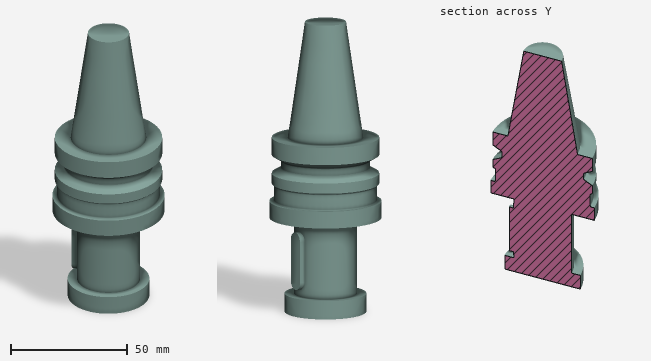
import cadquery as cq
import math

top_z = 48.4
bottom_z = -78.0

gauge_diameter = 31.75
taper_slope = 7 / 24 / 2

flange_diameter = 46.0
flange_top_z = -2.0
flange_bottom_z = -22.0
groove_diameter = 38.0
groove_top_z = -9.55
groove_bottom_z = -17.55
groove_flank_angle = 30.0
groove_root_fillet = 0.5
flange_chamfer = 0.4

neck_diameter = 44.0
collar_diameter = 48.0
collar_top_z = -29.7
collar_bottom_z = -37.0
arbor_diameter = 27.0
disc_diameter = 35.0
disc_top_z = -70.0

key_width = 7.0
key_length = 25.0
key_center_z = -54.4
key_face_x = -15.5
key_depth = 7.0

edge_tolerance = 0.01


def taper_radius(z):
    """Radius of the taper cone at height z."""
    return gauge_diameter / 2 - z * taper_slope


def arc_middle_gap(radius):
    """Gap between the middle of a root fillet and either of the two walls it joins."""
    return radius * (1 - math.sqrt(0.5))


def make_body():
    """Revolve the half outline (radius, height) about the Z axis."""
    flange_radius = flange_diameter / 2
    groove_radius = groove_diameter / 2
    neck_radius = neck_diameter / 2
    collar_radius = collar_diameter / 2
    arbor_radius = arbor_diameter / 2
    disc_radius = disc_diameter / 2
    flank_height = (flange_radius - groove_radius) * math.tan(math.radians(groove_flank_angle))
    flange_underside_z = flange_bottom_z - flange_chamfer
    neck_fillet = flange_radius - flange_chamfer - neck_radius
    fillet_gap = arc_middle_gap(neck_fillet)

    outline = (
        cq.Workplane("XZ")
        .moveTo(0, top_z)
        .lineTo(taper_radius(top_z), top_z)
        .lineTo(taper_radius(flange_top_z), flange_top_z)
        .lineTo(flange_radius, flange_top_z)
        .lineTo(flange_radius, groove_top_z)
        .lineTo(groove_radius, groove_top_z - flank_height)
        .lineTo(groove_radius, groove_bottom_z + flank_height)
        .lineTo(flange_radius, groove_bottom_z)
        .lineTo(flange_radius, flange_bottom_z)
        .lineTo(flange_radius - flange_chamfer, flange_underside_z)
        .threePointArc(
            (neck_radius + fillet_gap, flange_underside_z - fillet_gap),
            (neck_radius, flange_underside_z - neck_fillet),
        )
        .lineTo(neck_radius, collar_top_z + neck_fillet)
        .threePointArc(
            (neck_radius + fillet_gap, collar_top_z + fillet_gap),
            (neck_radius + neck_fillet, collar_top_z),
        )
        .lineTo(collar_radius, collar_top_z)
        .lineTo(collar_radius, collar_bottom_z)
        .lineTo(arbor_radius, collar_bottom_z)
        .lineTo(arbor_radius, disc_top_z)
        .lineTo(disc_radius, disc_top_z)
        .lineTo(disc_radius, bottom_z)
        .lineTo(0, bottom_z)
        .close()
    )
    body = outline.revolve(360, (0, 0, 0), (0, 1, 0))
    return round_groove_roots(body, groove_radius)


def round_groove_roots(body, groove_radius):
    """Fillet the two circular edges at the bottom of the V groove."""
    reach = groove_radius + edge_tolerance
    low_corner = (-reach, -reach, groove_bottom_z)
    high_corner = (reach, reach, groove_top_z)
    roots = cq.selectors.BoxSelector(low_corner, high_corner, boundingbox=True)
    return body.edges(roots).edges("%CIRCLE").fillet(groove_root_fillet)


def make_key():
    """Round-ended key that stands out of the arbor toward -X."""
    return (
        cq.Workplane("YZ", origin=(key_face_x, 0, key_center_z))
        .slot2D(key_length, key_width, 90)
        .extrude(key_depth)
    )


result = make_body().union(make_key())